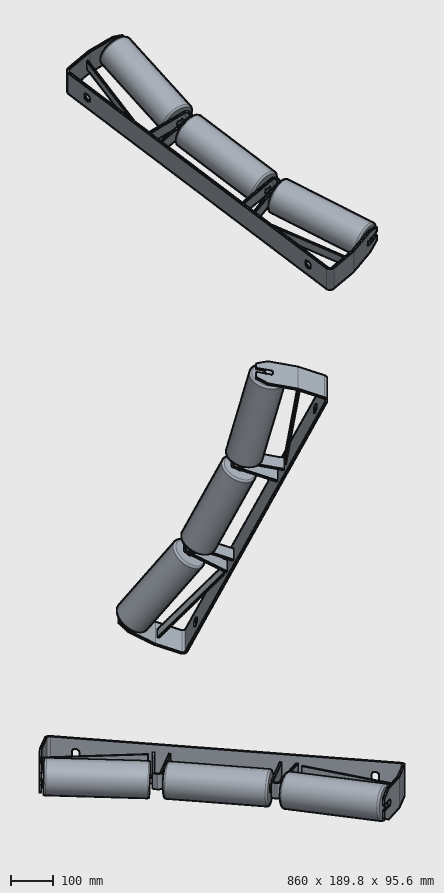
import cadquery as cq
import math

FRAME_LENGTH = 860.0
FRAME_HEIGHT = 80.0
SHEET = 5.0
CORNER_RADIUS = 12.0
BEND_Y = 80.0
ARM_LENGTH = 100.0
ARM_CHAMFER_ALONG = 28.0
ARM_CHAMFER_UP = 15.0
MOUNT_HOLE_SPACING = 716.0
MOUNT_HOLE_WIDTH = 18.0
MOUNT_HOLE_HEIGHT = 26.0

TROUGH_ANGLE = 10.0
TILT_ANGLE = 1.6
ROLLER_DIAMETER = 88.9
ROLLER_LENGTH = 250.0
ROLLER_EDGE_RADIUS = 5.0
END_GAP = 5.0
FLAT_OVERRUN = 1.0
SHAFT_DIAMETER = 20.0
SHAFT_FLATS = 15.0
MIDDLE_ROLLER_Y = 98.5
MIDDLE_ROLLER_Z = 34.1
SIDE_SHAFT_ALONG = 69.57
SIDE_SHAFT_Z = 41.2

BRACKET_TOP_Y = 125.0
BRACKET_HEIGHT = 40.0
BRACKET_BEND_RADIUS = 10.0
BRACE_ANGLE = 15.0
BRACE_TOP_Y = 73.5
BRACE_THICKNESS = 4.0
BRACE_HEIGHT = 30.0

CUT_MARGIN = 2.0

HALF_LENGTH = FRAME_LENGTH / 2
LEAN = math.radians(TROUGH_ANGLE)
SHAFT_SPAN = ROLLER_LENGTH + 2 * END_GAP + 2 * SHEET
SIDE_SHAFT_X = -HALF_LENGTH + SIDE_SHAFT_ALONG * math.sin(LEAN)
SIDE_SHAFT_Y = BEND_Y + SIDE_SHAFT_ALONG * math.cos(LEAN)


def with_mirror_image(body):
    """The left-hand body and its right-hand twin, as two solids."""
    return [body.val(), body.mirror("YZ").val()]


def at_left_roller(body):
    """Move a body built about a shaft along +X, starting at the origin, to the left roller."""
    return (
        body.rotate((0, 0, 0), (0, 1, 0), TILT_ANGLE)
        .rotate((0, 0, 0), (0, 0, 1), -TROUGH_ANGLE)
        .translate((SIDE_SHAFT_X, SIDE_SHAFT_Y, SIDE_SHAFT_Z))
    )


def at_middle_roller(body):
    """Move a body built about a shaft along +X, starting at the origin, to the middle roller."""
    return body.translate((-SHAFT_SPAN / 2, MIDDLE_ROLLER_Y, MIDDLE_ROLLER_Z))



def rod(start, length, diameter):
    return cq.Workplane("YZ").workplane(offset=start).circle(diameter / 2).extrude(length)


def flatted_rod(start, length):
    """Stretch of shaft with a flat above and below."""
    between_flats = (
        cq.Workplane("YZ").workplane(offset=start).rect(SHAFT_DIAMETER, SHAFT_FLATS).extrude(length)
    )
    return rod(start, length, SHAFT_DIAMETER).intersect(between_flats)


def make_roller():
    """Drum with its shaft along +X, the flatted shaft ends filling the sheets that hold it."""
    drum = rod(SHEET + END_GAP, ROLLER_LENGTH, ROLLER_DIAMETER).edges().fillet(ROLLER_EDGE_RADIUS)
    flat_length = SHEET + FLAT_OVERRUN
    full_shaft = rod(flat_length, SHAFT_SPAN - 2 * flat_length, SHAFT_DIAMETER)
    return drum.union(full_shaft).union(flatted_rod(0, SHAFT_SPAN))


def shaft_end_cutter(start):
    """Hole for a shaft end, long enough to pass right through a sheet that begins at start."""
    return flatted_rod(start - CUT_MARGIN, SHEET + 2 * CUT_MARGIN)



def make_frame_channel():
    """Front plate and the two square ends, with rounded corners."""
    outside = cq.Workplane("XY").rect(FRAME_LENGTH, 2 * BEND_Y).extrude(FRAME_HEIGHT)
    outside = outside.edges("|Z and <Y").fillet(CORNER_RADIUS)
    inside = cq.Workplane("XY").rect(FRAME_LENGTH - 2 * SHEET, 2 * (BEND_Y - SHEET)).extrude(FRAME_HEIGHT)
    inside = inside.edges("|Z and <Y").fillet(CORNER_RADIUS - SHEET)
    far_half = (
        cq.Workplane("XY").rect(FRAME_LENGTH, BEND_Y).extrude(FRAME_HEIGHT).translate((0, BEND_Y / 2, 0))
    )
    return outside.cut(inside).cut(far_half).translate((0, BEND_Y, 0))


def make_left_arm():
    """Leaning stretch of the left frame end, with its open slot for the side roller's shaft."""
    shoulder = ARM_LENGTH - ARM_CHAMFER_ALONG
    arm = (
        cq.Workplane("YZ")
        .polyline([
            (0, 0),
            (shoulder, 0),
            (ARM_LENGTH, ARM_CHAMFER_UP),
            (ARM_LENGTH, FRAME_HEIGHT - ARM_CHAMFER_UP),
            (shoulder, FRAME_HEIGHT),
            (0, FRAME_HEIGHT),
        ])
        .close()
        .extrude(SHEET)
        .rotate((0, 0, 0), (0, 0, 1), -TROUGH_ANGLE)
        .translate((-HALF_LENGTH, BEND_Y, 0))
    )
    slot_mouth = (
        cq.Workplane("YZ").workplane(offset=-CUT_MARGIN)
        .rect(ARM_LENGTH, SHAFT_FLATS).extrude(SHEET + 2 * CUT_MARGIN)
        .translate((0, ARM_LENGTH / 2, 0))
    )
    return arm.cut(at_left_roller(slot_mouth.union(shaft_end_cutter(0))))


def make_frame():
    channel = make_frame_channel()
    left_arm = make_left_arm()
    mount_holes = (
        cq.Workplane("XZ")
        .pushPoints([(-MOUNT_HOLE_SPACING / 2, FRAME_HEIGHT / 2), (MOUNT_HOLE_SPACING / 2, FRAME_HEIGHT / 2)])
        .slot2D(MOUNT_HOLE_HEIGHT, MOUNT_HOLE_WIDTH, 90)
        .extrude(-SHEET)
    )
    return channel.union(left_arm).union(left_arm.mirror("YZ")).cut(mount_holes)



def leaning_face_x(along_shaft, y):
    """X at a given Y on the plane square to the left roller, at a distance along its shaft."""
    face_x = SIDE_SHAFT_X + along_shaft * math.cos(LEAN)
    face_y = SIDE_SHAFT_Y - along_shaft * math.sin(LEAN)
    return face_x + (y - face_y) * math.tan(LEAN)


def bracket_block(inset, bend_radius):
    """Upright block between the left and middle rollers, drawn in from the bracket skin by inset."""
    leaning_face = SHAFT_SPAN - SHEET + inset
    straight_face_x = -SHAFT_SPAN / 2 + SHEET - inset
    top_y = BRACKET_TOP_Y - inset
    return (
        cq.Workplane("XY")
        .workplane(offset=(FRAME_HEIGHT - BRACKET_HEIGHT) / 2)
        .polyline([
            (leaning_face_x(leaning_face, SHEET), SHEET),
            (leaning_face_x(leaning_face, top_y), top_y),
            (straight_face_x, top_y),
            (straight_face_x, SHEET),
        ])
        .close()
        .extrude(BRACKET_HEIGHT)
        .edges("|Z and >Y")
        .fillet(bend_radius)
    )


def make_left_bracket():
    """Folded sheet holding the left roller's inner end and the middle roller's left end."""
    skin = bracket_block(0, BRACKET_BEND_RADIUS)
    hollow = bracket_block(SHEET, BRACKET_BEND_RADIUS - SHEET)
    return (
        skin.cut(hollow)
        .cut(at_left_roller(shaft_end_cutter(SHAFT_SPAN - SHEET)))
        .cut(at_middle_roller(shaft_end_cutter(0)))
    )



def make_left_brace():
    """Slanting bar from the frame end to the front plate, its square-cut toe on the plate."""
    angle = math.radians(BRACE_ANGLE)
    end_x = -HALF_LENGTH + SHEET
    near_y = BRACE_TOP_Y - BRACE_THICKNESS / math.cos(angle)
    toe_x = end_x + (near_y - SHEET) / math.tan(angle)
    return (
        cq.Workplane("XY")
        .workplane(offset=(FRAME_HEIGHT - BRACE_HEIGHT) / 2)
        .polyline([
            (end_x, BRACE_TOP_Y),
            (end_x, near_y),
            (toe_x, SHEET),
            (toe_x + BRACE_THICKNESS * math.sin(angle), SHEET + BRACE_THICKNESS * math.cos(angle)),
        ])
        .close()
        .extrude(BRACE_HEIGHT)
    )


frame = make_frame()
left_bracket = make_left_bracket()
left_brace = make_left_brace()
left_roller = at_left_roller(make_roller())
middle_roller = at_middle_roller(make_roller())

result = cq.Compound.makeCompound([
    frame.val(),
    *with_mirror_image(left_bracket),
    *with_mirror_image(left_brace),
    *with_mirror_image(left_roller),
    middle_roller.val(),
])